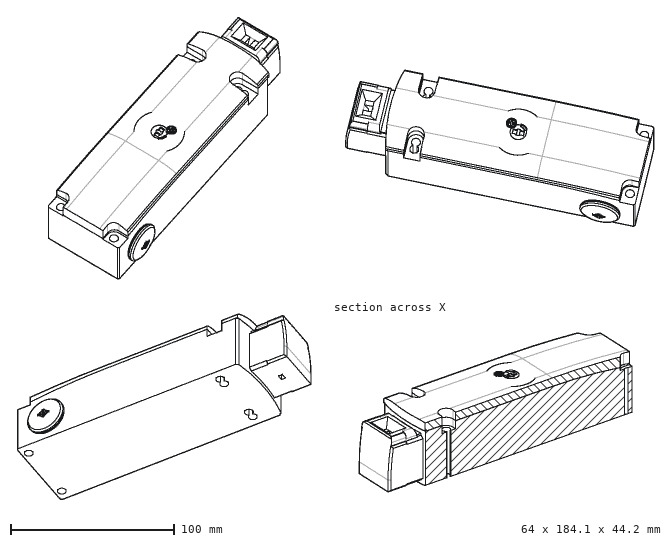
import cadquery as cq
import math

OVERALL_LENGTH = 184.1
OVERALL_WIDTH = 64.0
OVERALL_HEIGHT = 44.2

BODY_WIDTH = 54.0
BODY_LENGTH = 159.5
REAR_BULGE = 3.1
FRONT_CORNER_CHAMFER = 1.0
REAR_CORNER_CHAMFER = 1.5
FLAT_HALF_WIDTH = 12.5
SIDE_DROP = 3.1
COVER_EDGE = 1.0
SLOPE_LENGTH = 61.3
FRONT_DROP = 3.0
SEAM_HEIGHT = 38.0
SEAM_FRONT_HEIGHT = 33.0

NOTCH_FLOOR = 32.2
REAR_NOTCH_Y = 140.0
REAR_NOTCH_RADIUS = 5.06
REAR_NOTCH_CENTRE_X = 15.1
FRONT_NOTCH_INNER_X = 15.1
FRONT_NOTCH_DEPTH = 9.5
FRONT_NOTCH_RADIUS = 5.0
MOUNTING_HOLE_DIAMETER = 5.3
REAR_HOLE_SPACING = 4.8
FRONT_HOLE_X = 20.0
FRONT_HOLE_Y = 4.6

LOCK_Y = 79.2
LOCK_PAD_RADIUS = 15.5
LOCK_RADIUS = 5.0
LOCK_RECESS = 0.2
MARK_WIDTH = 0.7
MARK_START_ANGLE = -60.0
MARK_SWEEP_ANGLE = 55.0
KEY_SLOT_WIDTH = 3.0
KEY_SLOT_LENGTH = 7.0
KEY_HOLE_DIAMETER = 4.2
KEY_DEPTH = 1.5
KEY_BRIDGE_LENGTH = 1.8
KEY_BRIDGE_RECESS = 0.4
SCREW_X = 5.2
SCREW_Y = 84.5
SCREW_RADIUS = 3.1
SCREW_GAP = 0.7
SCREW_SLOT_LENGTH = 4.0
SCREW_SLOT_WIDTH = 1.0
SCREW_DEPTH = 1.0

HEAD_WIDTH = 32.0
HEAD_BOTTOM = 2.8
HEAD_SHOULDER = 33.9
HEAD_TOP = 39.2
HEAD_BEND_HEIGHT = 11.0
HEAD_REAR_LEAN = 2.0
HEAD_REAR_EDGE = 1.3
HEAD_FRONT_EDGE = 1.8
CROWN_WIDTH = 30.2
CROWN_FRONT_Y = 161.8
CROWN_FRONT_SLOPE = 1.7
CROWN_MID_Y = 170.5
CROWN_FRONT_ROUND = 3.7
CROWN_REAR_ROUND = 2.4
CROWN_REAR_CHAMFER = 1.0
RIM_INNER_X = 12.7
RIM_STEP = 0.4
NECK_WIDTH = 28.7
NECK_TOP = 35.2

FUNNEL_HALF_WIDTH = 9.2
FUNNEL_FRONT_Y = 166.5
FUNNEL_REAR_Y = 179.1
FUNNEL_FLOOR_HALF_WIDTH = 5.0
FUNNEL_FLOOR_FRONT_Y = 170.7
FUNNEL_FLOOR_REAR_Y = 176.0
FUNNEL_DEPTH = 5.5
SLOT_WIDTH = 3.7
SLOT_LENGTH = 2.8

PLUG_Y = 21.5
PLUG_Z = 16.2
PLUG_NECK_RADIUS = 12.0
PLUG_NECK_LENGTH = 1.0
PLUG_FLANGE_RADIUS = 12.5
PLUG_FLANGE_END = 2.4
PLUG_DOME_RADIUS = 11.5
PLUG_DOME_START = 3.5
PLUG_SLOT_WIDTH = 1.1
PLUG_SLOT_LENGTH = 7.7
PLUG_SLOT_HEIGHT = 5.9
PLUG_SLOT_DEPTH = 1.5
PLUG_DIMPLE_DEPTH = 0.4
PLUG_TIP_TRIM = 0.07

HALF_WIDTH = BODY_WIDTH / 2
CORNER_Y = BODY_LENGTH - REAR_BULGE
PLUG_LENGTH = (OVERALL_WIDTH - BODY_WIDTH) / 2
SIDES = (-1, 1)


def arc_radius(run, drop):
    """Radius of an arc that starts level and falls by drop over a length run."""
    return (run**2 + drop**2) / (2 * drop)


def arc_fall(radius, run):
    """Fall of such an arc at a given run."""
    return radius - math.sqrt(radius**2 - run**2)


def block(x0, x1, y0, y1, z0, z1):
    return cq.Workplane("XY").box(x1 - x0, y1 - y0, z1 - z0, centered=False).translate((x0, y0, z0))


def body_prism():
    """Full-height block with the curved rear wall."""
    return (
        cq.Workplane("XY")
        .moveTo(-HALF_WIDTH, 0)
        .lineTo(HALF_WIDTH, 0)
        .lineTo(HALF_WIDTH, CORNER_Y)
        .threePointArc((0, BODY_LENGTH), (-HALF_WIDTH, CORNER_Y))
        .close()
        .extrude(OVERALL_HEIGHT)
    )


def below_seam():
    """Everything under the seam, which bends down towards the front."""
    seam_drop = SEAM_HEIGHT - SEAM_FRONT_HEIGHT
    seam_radius = arc_radius(SLOPE_LENGTH, seam_drop)
    middle = (SLOPE_LENGTH / 2, SEAM_HEIGHT - arc_fall(seam_radius, SLOPE_LENGTH / 2))
    return (
        cq.Workplane("YZ")
        .moveTo(0, 0)
        .lineTo(0, SEAM_FRONT_HEIGHT)
        .threePointArc(middle, (SLOPE_LENGTH, SEAM_HEIGHT))
        .lineTo(BODY_LENGTH, SEAM_HEIGHT)
        .lineTo(BODY_LENGTH, 0)
        .close()
        .extrude(HALF_WIDTH, both=True)
    )


def mounting_notches():
    """Open pockets that expose the mounting holes."""
    notches = cq.Workplane("XY").workplane(offset=NOTCH_FLOOR)
    depth = OVERALL_HEIGHT - NOTCH_FLOOR
    length = HALF_WIDTH - REAR_NOTCH_CENTRE_X
    rear_round = notches.pushPoints([(s * REAR_NOTCH_CENTRE_X, REAR_NOTCH_Y) for s in SIDES])
    rear_channel = notches.pushPoints([(s * (HALF_WIDTH - length / 2), REAR_NOTCH_Y) for s in SIDES])
    cutters = rear_round.circle(REAR_NOTCH_RADIUS).extrude(depth)
    cutters = cutters.union(rear_channel.rect(length, 2 * REAR_NOTCH_RADIUS).extrude(depth))
    for side in SIDES:
        inner_x = side * FRONT_NOTCH_INNER_X
        outer_x = side * HALF_WIDTH
        corner = block(
            min(inner_x, outer_x), max(inner_x, outer_x), 0, FRONT_NOTCH_DEPTH, NOTCH_FLOOR, OVERALL_HEIGHT
        )
        inner_edge = "|Z and >Y and " + ("<X" if side > 0 else ">X")
        cutters = cutters.union(corner.edges(inner_edge).fillet(FRONT_NOTCH_RADIUS))
    return cutters


def mounting_holes():
    """Round front holes and double rear holes, right through the housing."""
    holes = cq.Workplane("XY")
    for side in SIDES:
        rear_x = side * REAR_NOTCH_CENTRE_X
        outer_rear_x = side * (REAR_NOTCH_CENTRE_X + REAR_HOLE_SPACING)
        for x, y in (
            (side * FRONT_HOLE_X, FRONT_HOLE_Y),
            (rear_x, REAR_NOTCH_Y),
            (outer_rear_x, REAR_NOTCH_Y),
        ):
            hole = cq.Workplane("XY", origin=(x, y, 0))
            holes = holes.union(hole.circle(MOUNTING_HOLE_DIAMETER / 2).extrude(OVERALL_HEIGHT))
    return holes


def make_housing():
    housing = body_prism()
    housing = housing.edges("|Z").edges("<Y").chamfer(FRONT_CORNER_CHAMFER)
    housing = housing.edges("|Z").edges(">Y").chamfer(REAR_CORNER_CHAMFER)
    return housing.intersect(below_seam()).cut(mounting_notches()).cut(mounting_holes())


def crowned_section():
    """Cross-section: level in the middle, falling in an arc to chamfered sides."""
    edge_run = HALF_WIDTH - COVER_EDGE - FLAT_HALF_WIDTH
    radius = arc_radius(HALF_WIDTH - FLAT_HALF_WIDTH, SIDE_DROP)
    middle = (FLAT_HALF_WIDTH + edge_run / 2, OVERALL_HEIGHT - arc_fall(radius, edge_run / 2))
    edge = (HALF_WIDTH - COVER_EDGE, OVERALL_HEIGHT - arc_fall(radius, edge_run))
    side_top = edge[1] - COVER_EDGE
    return (
        cq.Workplane("XZ", origin=(0, SLOPE_LENGTH, 0))
        .moveTo(-FLAT_HALF_WIDTH, OVERALL_HEIGHT)
        .lineTo(FLAT_HALF_WIDTH, OVERALL_HEIGHT)
        .threePointArc(middle, edge)
        .lineTo(HALF_WIDTH, side_top)
        .lineTo(HALF_WIDTH, 0)
        .lineTo(-HALF_WIDTH, 0)
        .lineTo(-HALF_WIDTH, side_top)
        .lineTo(-edge[0], edge[1])
        .threePointArc((-middle[0], middle[1]), (-FLAT_HALF_WIDTH, OVERALL_HEIGHT))
        .close()
    )


def crowned_top():
    """Crowned section run straight to the rear and bent down towards the front."""
    axis_height = OVERALL_HEIGHT - arc_radius(SLOPE_LENGTH, FRONT_DROP)
    bend = 1.2 * math.degrees(math.asin(SLOPE_LENGTH / (OVERALL_HEIGHT - axis_height)))
    straight = crowned_section().extrude(SLOPE_LENGTH - BODY_LENGTH)
    curved = crowned_section().revolve(bend, (0, axis_height, 0), (1, axis_height, 0))
    return straight.union(curved)


def lock_cuts():
    """Lock face with its key slot and a curved mark beside it."""
    face = cq.Workplane("XY", origin=(0, LOCK_Y, OVERALL_HEIGHT))
    key_slot = face.rect(KEY_SLOT_WIDTH, KEY_SLOT_LENGTH).extrude(-KEY_DEPTH)
    key_hole = face.circle(KEY_HOLE_DIAMETER / 2).extrude(-KEY_DEPTH)
    bridge = (
        face.workplane(offset=-KEY_BRIDGE_RECESS)
        .rect(KEY_HOLE_DIAMETER, KEY_BRIDGE_LENGTH)
        .extrude(KEY_BRIDGE_RECESS - KEY_DEPTH)
    )
    cuts = key_slot.union(key_hole).cut(bridge)
    cuts = cuts.union(face.circle(LOCK_RADIUS).extrude(-LOCK_RECESS))
    mark = (
        cq.Workplane("XZ")
        .moveTo(LOCK_RADIUS, 0)
        .rect(2 * MARK_WIDTH, 2 * KEY_DEPTH)
        .revolve(MARK_SWEEP_ANGLE, (0, 0, 0), (0, 1, 0))
        .rotate((0, 0, 0), (0, 0, 1), MARK_START_ANGLE)
        .translate((0, LOCK_Y, OVERALL_HEIGHT))
    )
    return cuts.union(mark)


def screw_cuts():
    """Ring gap and crossed slots of the flush cover screw."""
    face = cq.Workplane("XY", origin=(SCREW_X, SCREW_Y, OVERALL_HEIGHT))
    ring = face.circle(SCREW_RADIUS).circle(SCREW_RADIUS - SCREW_GAP).extrude(-SCREW_DEPTH)
    slot = face.rect(SCREW_SLOT_LENGTH, SCREW_SLOT_WIDTH).extrude(-SCREW_DEPTH)
    cross_slot = face.rect(SCREW_SLOT_WIDTH, SCREW_SLOT_LENGTH).extrude(-SCREW_DEPTH)
    return ring.union(slot).union(cross_slot)


def make_cover():
    lock_pad = (
        cq.Workplane("XY", origin=(0, LOCK_Y, SEAM_HEIGHT))
        .circle(LOCK_PAD_RADIUS)
        .extrude(OVERALL_HEIGHT - SEAM_HEIGHT)
    )
    cover = body_prism().intersect(crowned_top()).cut(below_seam()).union(lock_pad)
    return cover.cut(mounting_notches()).cut(lock_cuts()).cut(screw_cuts())


def head_profile():
    """Side outline of the head up to full height, with the leaning rear face."""
    radius = arc_radius(HEAD_SHOULDER - HEAD_BEND_HEIGHT, HEAD_REAR_LEAN)
    rise = HEAD_TOP - HEAD_BEND_HEIGHT
    middle = (OVERALL_LENGTH - arc_fall(radius, rise / 2), HEAD_BEND_HEIGHT + rise / 2)
    return (
        cq.Workplane("YZ")
        .moveTo(CORNER_Y, HEAD_BOTTOM)
        .lineTo(OVERALL_LENGTH, HEAD_BOTTOM)
        .lineTo(OVERALL_LENGTH, HEAD_BEND_HEIGHT)
        .threePointArc(middle, (OVERALL_LENGTH - arc_fall(radius, rise), HEAD_TOP))
        .lineTo(CORNER_Y, HEAD_TOP)
        .close()
    )


def head_base():
    """Lower block up to the shoulder, with its outer edges broken."""
    half = HEAD_WIDTH / 2
    base = head_profile().extrude(half, both=True)
    rear = base.intersect(block(-half, half, CROWN_MID_Y, OVERALL_LENGTH, HEAD_BOTTOM, HEAD_SHOULDER))
    rear = rear.faces("<X or >X").edges("not <Y").chamfer(HEAD_REAR_EDGE)
    front = block(-half, half, CORNER_Y, CROWN_MID_Y, HEAD_BOTTOM, HEAD_SHOULDER)
    front = front.edges("|Y").chamfer(HEAD_FRONT_EDGE)
    return front.union(rear)


def head_crown():
    """Narrower top around the funnel: large rounds in front, a stepped rim behind."""
    half = CROWN_WIDTH / 2
    crown = head_profile().extrude(half, both=True)
    crown = crown.faces(">Z").edges(">Y").chamfer(CROWN_REAR_CHAMFER)
    front = crown.intersect(block(-half, half, CROWN_FRONT_Y, CROWN_MID_Y, HEAD_SHOULDER, HEAD_TOP))
    front = front.edges("|Y and >Z").fillet(CROWN_FRONT_ROUND)
    front = front.cut(
        cq.Workplane("YZ")
        .moveTo(CROWN_FRONT_Y, HEAD_SHOULDER)
        .lineTo(CROWN_FRONT_Y + CROWN_FRONT_SLOPE, HEAD_TOP)
        .lineTo(CROWN_FRONT_Y, HEAD_TOP)
        .close()
        .extrude(half, both=True)
    )
    rim_top = HEAD_TOP - RIM_STEP
    rim = crown.intersect(block(-half, half, CROWN_MID_Y, OVERALL_LENGTH, HEAD_SHOULDER, rim_top))
    rim = rim.edges("|Y and >Z").fillet(CROWN_REAR_ROUND)
    plate = crown.intersect(
        block(-RIM_INNER_X, RIM_INNER_X, CROWN_MID_Y, OVERALL_LENGTH, HEAD_SHOULDER, HEAD_TOP)
    )
    return front.union(rim).union(plate)


def funnel():
    """Tapered opening that narrows to a slot through the head."""
    top_length = FUNNEL_REAR_Y - FUNNEL_FRONT_Y
    floor_length = FUNNEL_FLOOR_REAR_Y - FUNNEL_FLOOR_FRONT_Y
    floor_z = HEAD_TOP - FUNNEL_DEPTH
    top_centre = FUNNEL_FRONT_Y + top_length / 2
    floor_shift = FUNNEL_FLOOR_FRONT_Y + floor_length / 2 - top_centre
    mouth = (
        cq.Workplane("XY", origin=(0, top_centre, HEAD_TOP))
        .rect(2 * FUNNEL_HALF_WIDTH, top_length)
        .workplane(offset=-FUNNEL_DEPTH)
        .center(0, floor_shift)
        .rect(2 * FUNNEL_FLOOR_HALF_WIDTH, floor_length)
        .loft(ruled=True)
    )
    slot_rear_y = FUNNEL_FLOOR_FRONT_Y + SLOT_LENGTH
    slot = (
        cq.Workplane("YZ")
        .moveTo(FUNNEL_FLOOR_FRONT_Y, floor_z)
        .lineTo(FUNNEL_FLOOR_REAR_Y, floor_z)
        .lineTo(slot_rear_y, floor_z - FUNNEL_DEPTH)
        .lineTo(slot_rear_y, HEAD_BOTTOM)
        .lineTo(FUNNEL_FLOOR_FRONT_Y, HEAD_BOTTOM)
        .close()
        .extrude(SLOT_WIDTH / 2, both=True)
    )
    return mouth.union(slot)


def make_head():
    neck_half = NECK_WIDTH / 2
    neck = block(-neck_half, neck_half, CORNER_Y, CROWN_MID_Y, HEAD_SHOULDER, NECK_TOP)
    head = head_base().union(head_crown()).union(neck)
    return head.cut(funnel()).cut(body_prism())


def make_plug(side):
    """Domed screw plug seated on the side face of the housing."""
    apex = PLUG_LENGTH + PLUG_TIP_TRIM
    sagitta = apex - PLUG_DOME_START
    dome_sphere = arc_radius(PLUG_DOME_RADIUS, sagitta)
    dome_middle = (PLUG_DOME_RADIUS / 2, apex - arc_fall(dome_sphere, PLUG_DOME_RADIUS / 2))
    plug = (
        cq.Workplane("XZ")
        .moveTo(0, 0)
        .lineTo(PLUG_NECK_RADIUS, 0)
        .lineTo(PLUG_NECK_RADIUS, PLUG_NECK_LENGTH)
        .lineTo(PLUG_FLANGE_RADIUS, PLUG_NECK_LENGTH)
        .lineTo(PLUG_FLANGE_RADIUS, PLUG_FLANGE_END)
        .lineTo(PLUG_DOME_RADIUS, PLUG_DOME_START)
        .threePointArc(dome_middle, (0, apex))
        .close()
        .revolve(360, (0, 0, 0), (0, 1, 0))
    )
    face = cq.Workplane("XY", origin=(0, 0, apex))
    half_height = PLUG_SLOT_HEIGHT / 2
    half_length = PLUG_SLOT_LENGTH / 2
    plug = plug.cut(face.rect(PLUG_SLOT_WIDTH, PLUG_SLOT_LENGTH).extrude(-PLUG_SLOT_DEPTH))
    plug = plug.cut(face.rect(PLUG_SLOT_HEIGHT, PLUG_SLOT_WIDTH).extrude(-PLUG_SLOT_DEPTH))
    dimple = face.polyline([(half_height, 0), (0, half_length), (-half_height, 0), (0, -half_length)])
    plug = plug.cut(dimple.close().extrude(-PLUG_DIMPLE_DEPTH))
    return plug.rotate((0, 0, 0), (0, 1, 0), side * 90).translate((side * HALF_WIDTH, PLUG_Y, PLUG_Z))


housing = make_housing()
cover = make_cover()
head = make_head()
plugs = [make_plug(side) for side in SIDES]

result = cq.Compound.makeCompound(
    [housing.val(), cover.val(), head.val(), *[plug.val() for plug in plugs]]
)